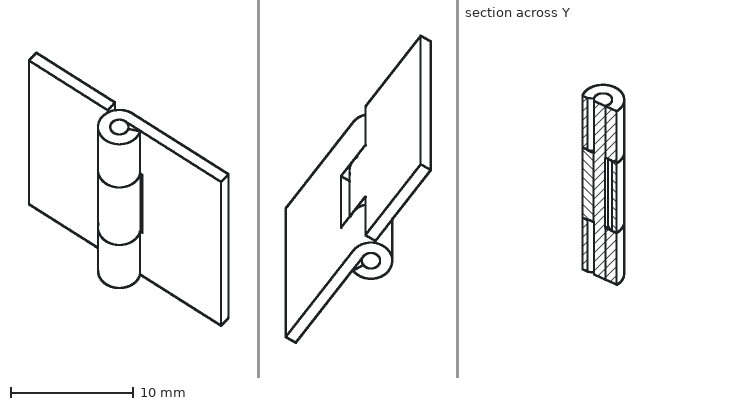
import cadquery as cq
import math

width = 20.0
height = 20.0
leaf_thickness = 1.0
barrel_diameter = 3.5
middle_knuckle_height = 8.0
curl_end_angle = 23.5
barrel_clearance = 0.05

knuckle_radius = barrel_diameter / 2
pin_radius = knuckle_radius - leaf_thickness
leaf_reach = width / 2
plate_start = knuckle_radius + barrel_clearance
end_knuckle_height = (height - middle_knuckle_height) / 2
middle_bottom = -middle_knuckle_height / 2
middle_top = middle_knuckle_height / 2
bottom = -height / 2


def polar(radius, degrees):
    angle = math.radians(degrees)
    return (radius * math.cos(angle), radius * math.sin(angle))


def make_plate():
    """Flat part of a leaf on the +X side, stopping just clear of the barrel."""
    return (
        cq.Workplane("XY", origin=(0, 0, bottom))
        .moveTo(plate_start, pin_radius)
        .lineTo(leaf_reach, pin_radius)
        .lineTo(leaf_reach, knuckle_radius)
        .lineTo(plate_start, knuckle_radius)
        .close()
        .extrude(height)
    )


def make_knuckle(z_bottom, knuckle_height):
    """Strip running tangentially from the plate and curling around the pin."""
    mid_angle = (90 + 360 + curl_end_angle) / 2
    return (
        cq.Workplane("XY", origin=(0, 0, z_bottom))
        .moveTo(plate_start, knuckle_radius)
        .lineTo(0, knuckle_radius)
        .threePointArc(polar(knuckle_radius, mid_angle), polar(knuckle_radius, curl_end_angle))
        .lineTo(*polar(pin_radius, curl_end_angle))
        .threePointArc(polar(pin_radius, mid_angle), (0, pin_radius))
        .lineTo(plate_start, pin_radius)
        .close()
        .extrude(knuckle_height)
    )


def make_leaf(knuckle_spans):
    """Full-height plate with a knuckle at each (bottom, height) span."""
    leaf = make_plate()
    for z_bottom, knuckle_height in knuckle_spans:
        leaf = leaf.union(make_knuckle(z_bottom, knuckle_height))
    return leaf


def make_pin():
    return cq.Workplane("XY", origin=(0, 0, bottom)).circle(pin_radius).extrude(height)


outer_knuckle_leaf = make_leaf([(bottom, end_knuckle_height), (middle_top, end_knuckle_height)])
middle_knuckle_leaf = make_leaf([(middle_bottom, middle_knuckle_height)]).mirror("YZ")
pin = make_pin()

bodies = [outer_knuckle_leaf, middle_knuckle_leaf, pin]
result = cq.Compound.makeCompound([body.solids().val() for body in bodies])